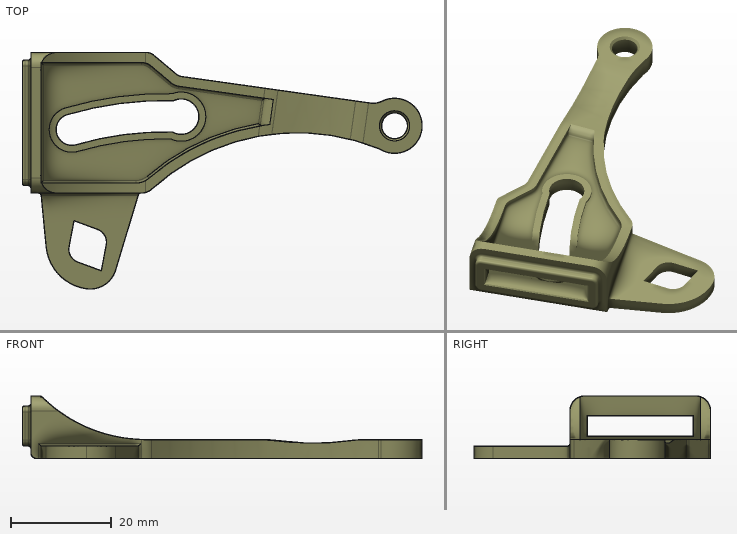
import cadquery as cq
import math


total_length = 79.54
total_width = 47.09
frame_width = 28.0
frame_half = frame_width / 2
wall_height = 12.5
wall_thickness = 2.0
wall_top_radius = 3.0
wall_foot_radius = 1.2
plate_thickness = 3.8
rail_width = 2.0
side_wall_end = 22.8

lip_length = 1.7
lip_width = 25.0
lip_height = 8.0
lip_center_z = 6.5
lip_corner_radius = 1.2
lip_edge_radius = 0.5
opening_width = 21.0
opening_height = 4.0
opening_chamfer = 0.2

eye_radius = 5.5
eye_x = total_length - lip_length - eye_radius
eye_y = -0.6
eye_hole_diameter = 5.1
eye_chamfer = 0.45
eye_blend_radius = 4.0

shoulder_x = 23.8
shoulder_angle = 40.0
arm_start_x = 29.4
arm_angle = 8.0
arm_start_y = frame_half - (arm_start_x - shoulder_x) * math.tan(math.radians(shoulder_angle))
lower_arc_x = 53.0
lower_arc_radius = 43.0
lower_arc_top_y = -2.0
lower_arc_y = lower_arc_top_y - lower_arc_radius
outline_corner_radius = 2.0
lower_corner_extra_radius = 1.0

floor_z = 2.5
pocket_fillet = 0.5
pocket_corner_radius = 3.0
pocket_end_radius = 3.8

hollow_center = 27.75
hollow_half_length = 10.4
hollow_blend_length = 2.6
hollow_depth = 0.7
pocket_end_overrun = 0.2
pocket_end = hollow_center - hollow_half_length + hollow_blend_length + pocket_end_overrun

slot_arc_radius = 66.0
slot_top_x = 26.7
slot_top_y = 1.3
slot_start_x = 8.15
slot_end_x = 29.9
slot_width = 6.2
slot_end_radius = 3.5
slot_rim_width = 1.4
slot_rim_z = 3.0

tab_thickness = 2.5
tab_left_x = 2.0
tab_right_x = 21.5
tab_tip_x = 11.8
tab_tip_y = frame_half - total_width
tab_left_radius = 9.4
tab_right_radius = 5.3
tab_arc_joint_angle = 8.0
tab_root_fillet = 0.5
diamond_upper = (8.6, -19.5)
diamond_right = (15.4, -22.0)
diamond_lower = (14.0, -29.4)
diamond_radius = 2.7

overlap = 1.0
slack = 0.1


def plate_prism(inset, left_x, right_x, bottom_z, top_z, corner_radius):
    """Prism on the plate outline moved inward by inset, cut off square at left_x and right_x."""
    shoulder = math.radians(shoulder_angle)
    arm = math.radians(arm_angle)
    half = frame_half - inset
    arc_radius = lower_arc_radius + inset

    def arc_y(x):
        return lower_arc_y + math.sqrt(arc_radius**2 - (x - lower_arc_x) ** 2)

    upper_corner_x = shoulder_x - inset * math.tan(shoulder / 2)
    lower_corner_x = lower_arc_x - math.sqrt(arc_radius**2 - (half + lower_arc_y) ** 2)
    mean_angle = (shoulder + arm) / 2
    bend_shift = inset / math.cos((shoulder - arm) / 2)
    bend_x = arm_start_x - bend_shift * math.sin(mean_angle)
    bend_y = arm_start_y - bend_shift * math.cos(mean_angle)
    arc_middle_x = (lower_corner_x + right_x) / 2

    prism = (
        cq.Workplane("XY", origin=(0, 0, bottom_z))
        .moveTo(left_x, half)
        .lineTo(upper_corner_x, half)
        .lineTo(bend_x, bend_y)
        .lineTo(right_x, bend_y - (right_x - bend_x) * math.tan(arm))
        .lineTo(right_x, arc_y(right_x))
        .threePointArc((arc_middle_x, arc_y(arc_middle_x)), (lower_corner_x, -half))
        .lineTo(left_x, -half)
        .close()
        .extrude(top_z - bottom_z)
    )
    prism = round_upright_edge(prism, (upper_corner_x, half), corner_radius)
    prism = round_upright_edge(prism, (bend_x, bend_y), corner_radius)
    return round_upright_edge(prism, (lower_corner_x, -half), corner_radius + lower_corner_extra_radius)


def round_upright_edge(solid, point, radius):
    """Fillet the vertical edge of the solid that stands closest to the plan point."""
    nearest = cq.selectors.NearestToPointSelector((point[0], point[1], solid.val().Center().z))
    return solid.edges("|Z").edges(nearest).fillet(radius)


def arm_profile_plane():
    """Upright plane along the upper edge of the arm: local x along the arm, local y up."""
    angle = math.radians(arm_angle)
    return cq.Plane(
        origin=(arm_start_x, arm_start_y, 0),
        xDir=(math.cos(angle), -math.sin(angle), 0),
        normal=(-math.sin(angle), -math.cos(angle), 0),
    )


def arm_plate():
    """Plate with the eye joined to its far end."""
    plate = plate_prism(0, 0, eye_x - eye_radius / 2, 0, plate_thickness, outline_corner_radius)
    eye = cq.Workplane("XY").center(eye_x, eye_y).circle(eye_radius).extrude(plate_thickness)
    return plate.union(eye)


def blend_eye(plate):
    """Round the two inner corners where the arm edges run into the eye."""
    for side in (1, -1):
        corner = (eye_x - eye_radius / 2, eye_y + side * eye_radius)
        plate = round_upright_edge(plate, corner, eye_blend_radius)
    return plate


def arm_hollow():
    """Cutter for the shallow hollow, with rounded shoulders, across the top of the arm."""
    start = hollow_center - hollow_half_length
    end = hollow_center + hollow_half_length
    blend_z = plate_thickness - hollow_depth * hollow_blend_length / hollow_half_length
    return (
        cq.Workplane(arm_profile_plane())
        .moveTo(start - overlap, plate_thickness)
        .lineTo(start, plate_thickness)
        .tangentArcPoint((start + hollow_blend_length, blend_z), relative=False)
        .tangentArcPoint((end - hollow_blend_length, blend_z), relative=False)
        .tangentArcPoint((end, plate_thickness), relative=False)
        .lineTo(end, plate_thickness + overlap)
        .lineTo(start - overlap, plate_thickness + overlap)
        .close()
        .extrude(frame_width, both=True)
    )


def walls():
    """End wall and the two side walls, as one block with a sweeping top, kept inside the outline."""
    block = (
        cq.Workplane("XY")
        .box(side_wall_end, frame_width, wall_height, centered=(False, True, False))
        .edges("|X and >Z")
        .fillet(wall_top_radius)
    )
    run = side_wall_end - wall_thickness
    drop = wall_height - plate_thickness
    sweep_radius = (run**2 + drop**2) / (2 * drop)
    sweep = (
        cq.Workplane("XZ")
        .center(side_wall_end, plate_thickness + sweep_radius)
        .circle(sweep_radius)
        .extrude(frame_width, both=True)
    )
    behind_wall = (
        cq.Workplane("XY", origin=(wall_thickness, 0, plate_thickness))
        .box(side_wall_end, 2 * frame_width, wall_height, centered=(False, True, False))
    )
    outline = plate_prism(0, 0, arm_start_x + overlap, 0, wall_height, outline_corner_radius)
    return block.cut(sweep.intersect(behind_wall)).intersect(outline)


def pocket():
    """Cutter for the pocket, filleted along its floor and rounded over at the arm end."""
    reach = arm_start_x + pocket_end * math.cos(math.radians(arm_angle))
    prism = plate_prism(
        rail_width, wall_thickness, reach + overlap, floor_z, wall_height + overlap, pocket_corner_radius
    )
    depth = plate_thickness - floor_z
    round_run = math.sqrt(pocket_end_radius**2 - (pocket_end_radius - depth) ** 2)
    half_turn = math.acos((pocket_end_radius - depth) / pocket_end_radius) / 2
    round_middle = (
        pocket_end - pocket_end_radius * math.sin(half_turn),
        plate_thickness - pocket_end_radius * (1 - math.cos(half_turn)),
    )
    side_profile = (
        cq.Workplane(arm_profile_plane())
        .moveTo(-total_length, floor_z)
        .lineTo(pocket_end - round_run, floor_z)
        .threePointArc(round_middle, (pocket_end, plate_thickness))
        .lineTo(pocket_end, wall_height + overlap)
        .lineTo(-total_length, wall_height + overlap)
        .close()
        .extrude(total_length, both=True)
    )
    return prism.intersect(side_profile).faces("<Z").edges().fillet(pocket_fillet)


def slot(growth, height):
    """Curved slot with round ends, widened all around by growth."""
    center_y = slot_top_y - slot_arc_radius
    half = slot_width / 2 + growth

    def arc_point(radius, angle):
        return (slot_top_x + radius * math.sin(angle), center_y + radius * math.cos(angle))

    start = math.asin((slot_start_x - slot_top_x) / slot_arc_radius)
    end = math.asin((slot_end_x - slot_top_x) / slot_arc_radius)
    middle = (start + end) / 2
    outer = slot_arc_radius + half
    inner = slot_arc_radius - half
    band = (
        cq.Workplane("XY")
        .moveTo(*arc_point(outer, start))
        .threePointArc(arc_point(outer, middle), arc_point(outer, end))
        .lineTo(*arc_point(inner, end))
        .threePointArc(arc_point(inner, middle), arc_point(inner, start))
        .close()
        .extrude(height)
    )
    for angle, radius in ((start, half), (end, slot_end_radius + growth)):
        x, y = arc_point(slot_arc_radius, angle)
        band = band.union(cq.Workplane("XY").center(x, y).circle(radius).extrude(height))
    return band


def lip():
    """Rounded lip standing out from the end wall."""
    return (
        cq.Workplane("YZ", origin=(0, 0, lip_center_z))
        .rect(lip_width, lip_height)
        .extrude(-lip_length)
        .edges("|X")
        .fillet(lip_corner_radius)
        .faces("<X")
        .edges()
        .fillet(lip_edge_radius)
    )


def lip_opening():
    """Cutter for the rectangular opening through lip and wall, chamfered at its mouth."""
    mouth = cq.Workplane("YZ", origin=(-lip_length, 0, lip_center_z))
    through = mouth.rect(opening_width, opening_height).extrude(lip_length + wall_thickness)
    flare = (
        mouth.rect(opening_width + 2 * opening_chamfer, opening_height + 2 * opening_chamfer)
        .workplane(offset=opening_chamfer)
        .rect(opening_width, opening_height)
        .loft()
    )
    return through.union(flare)


def tangent_point(start, center, radius, side):
    """Point where the line from start touches the circle, to the left (1) or right (-1) of it."""
    dx = start[0] - center[0]
    dy = start[1] - center[1]
    angle = math.atan2(dy, dx) + side * math.acos(radius / math.hypot(dx, dy))
    return (center[0] + radius * math.cos(angle), center[1] + radius * math.sin(angle))


def tab():
    """Side tab: straight flanks running tangent into two arcs that meet near the tip."""
    left_root = (tab_left_x, -frame_half)
    right_root = (tab_right_x, -frame_half)
    right_center = (tab_tip_x, tab_tip_y + tab_right_radius)
    joint_angle = math.radians(tab_arc_joint_angle)
    center_gap = tab_left_radius - tab_right_radius
    left_center = (
        right_center[0] + center_gap * math.sin(joint_angle),
        right_center[1] + center_gap * math.cos(joint_angle),
    )
    arc_joint = (
        right_center[0] - tab_right_radius * math.sin(joint_angle),
        right_center[1] - tab_right_radius * math.cos(joint_angle),
    )
    left_touch = tangent_point(left_root, left_center, tab_left_radius, 1)
    right_touch = tangent_point(right_root, right_center, tab_right_radius, -1)
    return (
        cq.Workplane("XY")
        .moveTo(tab_left_x, rail_width - frame_half)
        .lineTo(*left_root)
        .lineTo(*left_touch)
        .tangentArcPoint(arc_joint, relative=False)
        .tangentArcPoint(right_touch, relative=False)
        .lineTo(*right_root)
        .lineTo(tab_right_x, rail_width - frame_half)
        .close()
        .extrude(tab_thickness)
    )


def diamond_hole():
    """Cutter for the diamond hole in the tab; its left and right corners are rounded."""
    diamond_left = (
        diamond_upper[0] + diamond_lower[0] - diamond_right[0],
        diamond_upper[1] + diamond_lower[1] - diamond_right[1],
    )
    corners = [diamond_upper, diamond_right, diamond_lower, diamond_left]
    hole = cq.Workplane("XY").polyline(corners).close().extrude(tab_thickness)
    for corner in (diamond_left, diamond_right):
        hole = round_upright_edge(hole, corner, diamond_radius)
    return hole


def in_box(x_range, y_range, z_range):
    """Selector for edges whose centers lie in the given ranges."""
    low, high = zip(x_range, y_range, z_range)
    return cq.selectors.BoxSelector(low, high)


def with_tab(body):
    """Add the side tab and fillet its top and flanks where they meet the frame."""
    root_edges = in_box(
        (tab_left_x - slack, tab_right_x + slack),
        (-frame_half - slack, -frame_half + slack),
        (slack, tab_thickness + slack),
    )
    return body.union(tab()).edges(root_edges).fillet(tab_root_fillet).cut(diamond_hole())


def with_lip(body):
    """Add the lip, fillet its foot on the end wall and cut the opening."""
    lip_foot = in_box(
        (-slack, slack),
        (-lip_width / 2 - slack, lip_width / 2 + slack),
        (lip_center_z - lip_height / 2 - slack, lip_center_z + lip_height / 2 + slack),
    )
    return body.union(lip()).edges(lip_foot).fillet(lip_edge_radius).cut(lip_opening())


def with_slot(body):
    """Add the raised rim on the pocket floor and cut the curved slot through it."""
    return body.union(slot(slot_rim_width, slot_rim_z)).cut(slot(0, plate_thickness))


def with_eye_hole(body):
    """Drill the eye and chamfer the hole at the top."""
    hole_radius = eye_hole_diameter / 2
    hole = cq.Workplane("XY").center(eye_x, eye_y).circle(hole_radius).extrude(plate_thickness)
    chamfer = (
        cq.Workplane("XY", origin=(eye_x, eye_y, plate_thickness))
        .circle(hole_radius + eye_chamfer)
        .workplane(offset=-eye_chamfer)
        .circle(hole_radius)
        .loft()
    )
    return body.cut(hole).cut(chamfer)


frame = blend_eye(arm_plate()).union(walls())
frame = frame.edges("|Y and <X and <Z").fillet(wall_foot_radius)
frame = with_lip(with_tab(frame))
frame = frame.cut(pocket()).cut(arm_hollow())
result = with_eye_hole(with_slot(frame))